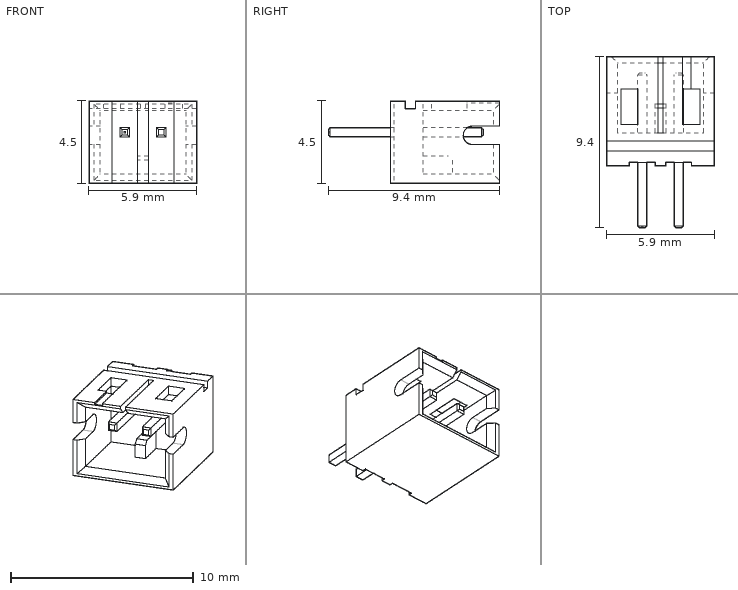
import cadquery as cq


body_width = 5.9
body_length = 6.0
body_height = 4.5

side_wall = 0.6
top_wall = 0.5
bottom_wall = 0.5
back_wall = 1.8
lead_in = 0.35

pin_pitch = 2.0
pin_size = 0.5
pin_height = 2.8
pin_tail = 3.4
pin_end_recess = 0.9
pin_chamfer = 0.1
dimple_diameter = 0.1
dimple_depth = 0.05

back_recess_depth = 0.2
back_recess_width = 1.4
back_rib_width = 0.6

cross_groove_start = 0.83
cross_groove_width = 0.55
cross_groove_depth = 0.4

center_slot_width = 0.3
window_inner_x = 1.22
window_width = 0.95
window_start = 2.27
window_length = 1.95
key_groove_width = 0.45
key_groove_depth = 0.1

side_slot_height = 1.0
side_slot_length = 2.0
side_slot_center_z = 2.63

floor_rib_width = 0.6
floor_rib_height = 1.0
floor_rib_end = 3.4
floor_rib_chamfer = 0.23

cavity_width = body_width - 2 * side_wall
cavity_height = body_height - top_wall - bottom_wall


def box(x_start, x_size, y_start, y_size, z_start, z_size):
    """Block given by its lowest corner and its size along each axis."""
    corner = (x_start, y_start, z_start)
    return cq.Workplane("XY").box(x_size, y_size, z_size, centered=False).translate(corner)


def centered_box(x_center, x_size, y_start, y_size, z_start, z_size):
    """Block centred on x_center and starting at y_start and z_start."""
    return box(x_center - x_size / 2, x_size, y_start, y_size, z_start, z_size)


def cavity():
    """Mating cavity with a 45 degree lead-in flaring to its mouth."""
    cavity_length = body_length - back_wall
    main = centered_box(0, cavity_width, back_wall, cavity_length, bottom_wall, cavity_height)
    cavity_center_z = bottom_wall + cavity_height / 2
    flare = (
        cq.Workplane("XZ", origin=(0, body_length - lead_in, cavity_center_z))
        .rect(cavity_width, cavity_height)
        .workplane(offset=-lead_in)
        .rect(cavity_width + 2 * lead_in, cavity_height + 2 * lead_in)
        .loft(ruled=True)
    )
    return main.union(flare)


def floor_rib():
    """Rib rising from the cavity floor, bevelled on its upper +Y edge."""
    embed = bottom_wall / 2
    rib = centered_box(
        0, floor_rib_width,
        back_wall - embed, floor_rib_end - back_wall + embed,
        bottom_wall - embed, floor_rib_height + embed,
    )
    return rib.faces(">Y").edges(">Z").chamfer(floor_rib_chamfer)


def back_recess(side):
    """Full-height shallow recess in the back face on one side of the rib."""
    center_x = side * (back_rib_width + back_recess_width) / 2
    return centered_box(center_x, back_recess_width, 0, back_recess_depth, 0, body_height)


def cross_groove():
    """Groove running across the whole width of the top face."""
    groove_floor = body_height - cross_groove_depth
    return centered_box(
        0, body_width, cross_groove_start, cross_groove_width, groove_floor, cross_groove_depth
    )


def center_slot():
    """Slot through the top wall, open at the cavity mouth."""
    slot_length = body_length - back_wall
    return centered_box(
        0, center_slot_width, back_wall, slot_length, body_height - top_wall, top_wall
    )


def window(side):
    """Rectangular opening through the top wall."""
    center_x = side * (window_inner_x + window_width / 2)
    return centered_box(
        center_x, window_width, window_start, window_length, body_height - top_wall, top_wall
    )


def key_groove():
    """Shallow groove in the top face from the +X window to the mouth."""
    groove_start = window_start + window_length
    return box(
        window_inner_x, key_groove_width,
        groove_start, body_length - groove_start,
        body_height - key_groove_depth, key_groove_depth,
    )


def side_slot():
    """Round-ended slot through both side walls, open at the mouth."""
    radius = side_slot_height / 2
    arc_center_y = body_length - side_slot_length + radius
    slot_bottom = side_slot_center_z - radius
    slot_top = side_slot_center_z + radius
    return (
        cq.Workplane("YZ")
        .moveTo(body_length, slot_bottom)
        .lineTo(arc_center_y, slot_bottom)
        .threePointArc((arc_center_y - radius, side_slot_center_z), (arc_center_y, slot_top))
        .lineTo(body_length, slot_top)
        .close()
        .extrude(body_width / 2, both=True)
    )


def pin(side):
    """Square pin along Y with bevelled ends."""
    pin_length = pin_tail + body_length - pin_end_recess
    blank = centered_box(
        side * pin_pitch / 2, pin_size, -pin_tail, pin_length, pin_height - pin_size / 2, pin_size
    )
    return blank.faces("<Y or >Y").edges().chamfer(pin_chamfer)


def pin_dimple():
    """Tiny round mark in the tail end of the -X pin."""
    return (
        cq.Workplane("XZ", origin=(-pin_pitch / 2, -pin_tail, pin_height))
        .circle(dimple_diameter / 2)
        .extrude(-dimple_depth)
    )


housing = centered_box(0, body_width, 0, body_length, 0, body_height)
housing = housing.cut(cavity()).union(floor_rib())
housing = housing.cut(cross_groove()).cut(center_slot()).cut(key_groove()).cut(side_slot())
for side in (-1, 1):
    housing = housing.cut(back_recess(side)).cut(window(side))

result = housing
for side in (-1, 1):
    result = result.union(pin(side))
result = result.cut(pin_dimple())